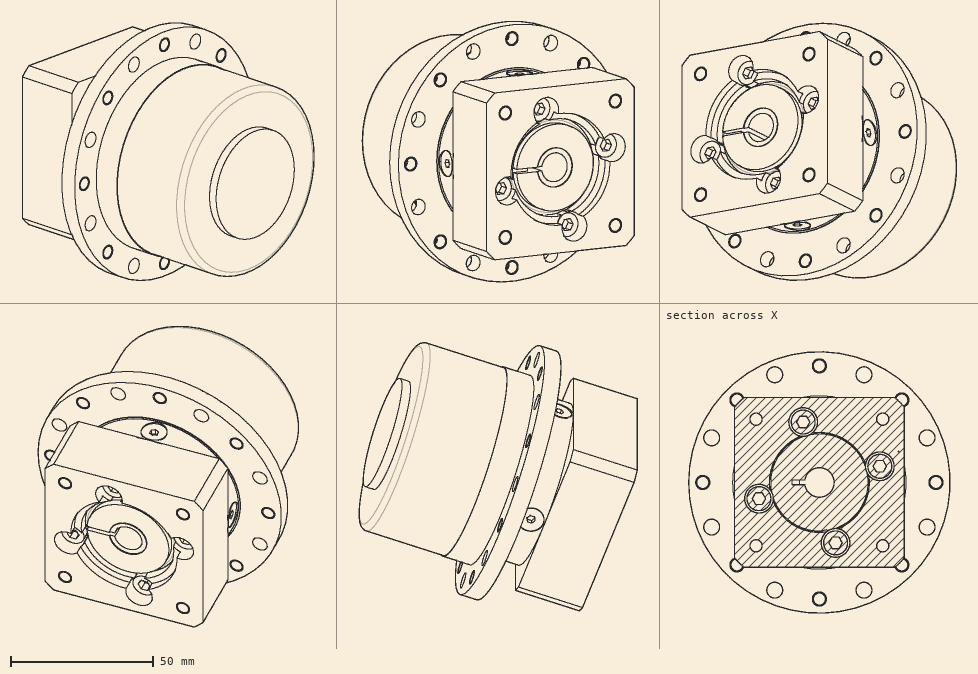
import cadquery as cq
import math

ADAPTER_SIDE = 59.8
ADAPTER_CORNER_DIAMETER = 80.0
ADAPTER_LENGTH = 24.0

NECK_DIAMETER = 59.8
NECK_COLLAR_DIAMETER = 61.0
NECK_COLLAR_LENGTH = 0.3
NECK_LENGTH = 10.4
FLANGE_DIAMETER = 92.0
FLANGE_LENGTH = 6.2
SPIGOT_DIAMETER = 70.0
SPIGOT_LENGTH = 10.0
BODY_DIAMETER = 69.5
BODY_LENGTH = 30.7
BODY_FILLET = 2.0
HUB_DIAMETER = 40.0
HUB_LENGTH = 3.2

FLANGE_HOLE_CIRCLE = 82.0
FLANGE_HOLE_COUNT = 8
CLEARANCE_HOLE_DIAMETER = 5.5
THREAD_HOLE_DIAMETER = 4.2
THREAD_DIAMETER = 5.0
THREAD_MOUTH_DEPTH = 0.1

MOTOR_HOLE_CIRCLE = 63.0
MOTOR_HOLE_COUNT = 4
MOTOR_HOLE_START_ANGLE = 45.0
MOTOR_HOLE_DEPTH = 10.0

SCREW_COUNT = 4
SCREW_CIRCLE = 44.0
SCREW_START_ANGLE = -15.0
SCREW_BORE_DIAMETER = 10.0
SCREW_BORE_DEPTH = 10.0
SCREW_HEAD_DIAMETER = 8.5
SCREW_HEAD_HEIGHT = 5.0
SCREW_HEX_FLATS = 4.0
SCREW_HEX_DEPTH = 3.5

PILOT_DIAMETER = 40.0
PILOT_DEPTH = 3.4
CLAMP_WELL_DIAMETER = 35.0
CLAMP_WELL_DEPTH = 7.5
CLAMP_FOOT_RADIUS = 1.0
CLAMP_DIAMETER = 31.0
CLAMP_FACE_DEPTH = 3.8
CLAMP_RIM_DIAMETER = 14.0
CLAMP_RIM_RECESS = 0.4
SHAFT_BORE_DIAMETER = 10.3
SHAFT_BORE_DEPTH = 30.0
CLAMP_SLOT_WIDTH = 1.6
MIDDLE_SLOT_DEPTH = 20.0
MIDDLE_SLOT_REACH = 9.6

PLUG_DIAMETER = 9.2
PLUG_COUNT = 4
PLUG_OFFSET = 5.0
PLUG_FACE_RADIUS = 29.3
PLUG_HEX_FLATS = 2.7
PLUG_HEX_DEPTH = 2.0

FLANGE_START = ADAPTER_LENGTH + NECK_LENGTH
FLANGE_END = FLANGE_START + FLANGE_LENGTH
SPIGOT_END = FLANGE_END + SPIGOT_LENGTH
BODY_END = SPIGOT_END + BODY_LENGTH
PLUG_X = ADAPTER_LENGTH + PLUG_OFFSET
CLAMP_FOOT_TOP = CLAMP_WELL_DEPTH - CLAMP_FOOT_RADIUS


def disc(start, length, diameter):
    """Cylinder on the X axis beginning at X = start."""
    return cq.Workplane("YZ", origin=(start, 0, 0)).circle(diameter / 2).extrude(length)


def ring_points(circle_diameter, count, start_angle):
    """Evenly spaced (y, z) points on a circle about the axis."""
    radius = circle_diameter / 2
    angles = [math.radians(start_angle + i * 360 / count) for i in range(count)]
    return [(radius * math.cos(a), radius * math.sin(a)) for a in angles]


def cylinders(start, length, diameter, points):
    """Parallel cylinders along +X, one at each (y, z) point."""
    return cq.Workplane("YZ", origin=(start, 0, 0)).pushPoints(points).circle(diameter / 2).extrude(length)


def hex_diameter(across_flats):
    """Across-corners size of a hexagon."""
    return across_flats / math.cos(math.pi / 6)


def threaded_holes(start, depth, points, through=False):
    """Tapping-size holes along +X, widened to thread size at the mouth (both mouths if through)."""
    holes = cylinders(start, depth, THREAD_HOLE_DIAMETER, points)
    holes = holes.union(cylinders(start, THREAD_MOUTH_DEPTH, THREAD_DIAMETER, points))
    if through:
        far_mouth = start + depth - THREAD_MOUTH_DEPTH
        holes = holes.union(cylinders(far_mouth, THREAD_MOUTH_DEPTH, THREAD_DIAMETER, points))
    return holes


SCREW_POINTS = ring_points(SCREW_CIRCLE, SCREW_COUNT, SCREW_START_ANGLE)


def adapter():
    """Square adapter with corners turned to a circle."""
    block = cq.Workplane("YZ").rect(ADAPTER_SIDE, ADAPTER_SIDE).extrude(ADAPTER_LENGTH)
    return block.intersect(disc(0, ADAPTER_LENGTH, ADAPTER_CORNER_DIAMETER))


def housing():
    """Turned housing: neck with its collar, flange, spigot, body and end hub."""
    neck = disc(ADAPTER_LENGTH, NECK_LENGTH, NECK_DIAMETER)
    collar = disc(FLANGE_START - NECK_COLLAR_LENGTH, NECK_COLLAR_LENGTH, NECK_COLLAR_DIAMETER)
    flange = disc(FLANGE_START, FLANGE_LENGTH, FLANGE_DIAMETER)
    spigot = disc(FLANGE_END, SPIGOT_LENGTH, SPIGOT_DIAMETER)
    body = disc(SPIGOT_END, BODY_LENGTH, BODY_DIAMETER).faces(">X").edges().fillet(BODY_FILLET)
    hub = disc(BODY_END, HUB_LENGTH, HUB_DIAMETER)
    return neck.union(collar).union(flange).union(spigot).union(body).union(hub)


def flange_holes():
    """Clearance holes alternating with threaded holes on one circle."""
    step = 360 / FLANGE_HOLE_COUNT
    clearance_points = ring_points(FLANGE_HOLE_CIRCLE, FLANGE_HOLE_COUNT, step / 2)
    thread_points = ring_points(FLANGE_HOLE_CIRCLE, FLANGE_HOLE_COUNT, 0)
    clearance = cylinders(FLANGE_START, FLANGE_LENGTH, CLEARANCE_HOLE_DIAMETER, clearance_points)
    return clearance.union(threaded_holes(FLANGE_START, FLANGE_LENGTH, thread_points, through=True))


def motor_holes():
    """Blind threaded holes near the corners of the adapter face."""
    points = ring_points(MOTOR_HOLE_CIRCLE, MOTOR_HOLE_COUNT, MOTOR_HOLE_START_ANGLE)
    return threaded_holes(0, MOTOR_HOLE_DEPTH, points)


def pilot_recess():
    """Motor pilot bore with a narrower well behind it for the clamping hub."""
    return disc(0, PILOT_DEPTH, PILOT_DIAMETER).union(disc(0, CLAMP_WELL_DEPTH, CLAMP_WELL_DIAMETER))


def clamp_hub():
    """Clamping hub: a cylinder rising from a round-edged foot on the floor of the well."""
    hub_length = CLAMP_WELL_DEPTH - CLAMP_FACE_DEPTH
    arc_centre_radius = CLAMP_WELL_DIAMETER / 2 - CLAMP_FOOT_RADIUS
    arc_offset = CLAMP_FOOT_RADIUS * math.sqrt(0.5)
    profile = (
        cq.Workplane("XY")
        .moveTo(CLAMP_WELL_DEPTH, 0)
        .lineTo(CLAMP_FOOT_TOP, 0)
        .lineTo(CLAMP_FOOT_TOP, arc_centre_radius)
        .threePointArc(
            (CLAMP_WELL_DEPTH - arc_offset, arc_centre_radius + arc_offset),
            (CLAMP_WELL_DEPTH, CLAMP_WELL_DIAMETER / 2),
        )
        .close()
    )
    foot = profile.revolve(360, (0, 0, 0), (1, 0, 0))
    return foot.union(disc(CLAMP_FACE_DEPTH, hub_length, CLAMP_DIAMETER))


def clamp_slot(reach, depth):
    """Radial slot from the axis toward +Y, cut from the hub face."""
    slot = cq.Workplane("XY", origin=(CLAMP_FACE_DEPTH, 0, 0))
    return slot.box(depth, reach, CLAMP_SLOT_WIDTH, centered=(False, False, True))


def clamp_cuts():
    """Shaft bore, recessed rim around it, and the slot that splits the hub, deepening toward the axis."""
    bore = disc(CLAMP_FACE_DEPTH, SHAFT_BORE_DEPTH, SHAFT_BORE_DIAMETER)
    rim = disc(CLAMP_FACE_DEPTH, CLAMP_RIM_RECESS, CLAMP_RIM_DIAMETER)
    outer_slot = clamp_slot(CLAMP_DIAMETER / 2, CLAMP_FOOT_TOP - CLAMP_FACE_DEPTH)
    middle_slot = clamp_slot(MIDDLE_SLOT_REACH, MIDDLE_SLOT_DEPTH)
    inner_slot = clamp_slot(CLAMP_RIM_DIAMETER / 2, SHAFT_BORE_DEPTH)
    return bore.union(rim).union(outer_slot).union(middle_slot).union(inner_slot)


def screw_bores():
    """Blind bores that receive the socket-head screws."""
    return cylinders(0, SCREW_BORE_DEPTH, SCREW_BORE_DIAMETER, SCREW_POINTS)


def screw_heads():
    """Socket-head screws standing on the floors of their bores."""
    top = SCREW_BORE_DEPTH - SCREW_HEAD_HEIGHT
    heads = cylinders(top, SCREW_HEAD_HEIGHT, SCREW_HEAD_DIAMETER, SCREW_POINTS)
    sockets = cq.Workplane("YZ", origin=(top, 0, 0)).pushPoints(SCREW_POINTS)
    return heads.cut(sockets.polygon(6, hex_diameter(SCREW_HEX_FLATS)).extrude(SCREW_HEX_DEPTH))


def plug_seats():
    """Flat-faced plug seats with a hex socket, spaced around the neck."""
    seat_height = NECK_COLLAR_DIAMETER / 2 - PLUG_FACE_RADIUS
    face = cq.Workplane("XY", origin=(PLUG_X, 0, PLUG_FACE_RADIUS))
    seat = face.circle(PLUG_DIAMETER / 2).extrude(seat_height)
    seat = seat.union(face.polygon(6, hex_diameter(PLUG_HEX_FLATS)).extrude(-PLUG_HEX_DEPTH))
    seats = cq.Workplane()
    for i in range(PLUG_COUNT):
        seats = seats.add(seat.rotate((0, 0, 0), (1, 0, 0), i * 360 / PLUG_COUNT))
    return seats.combine()


result = adapter().union(housing())
result = result.cut(flange_holes()).cut(motor_holes()).cut(plug_seats())
result = result.cut(pilot_recess()).union(clamp_hub()).cut(clamp_cuts())
result = result.cut(screw_bores()).union(screw_heads())